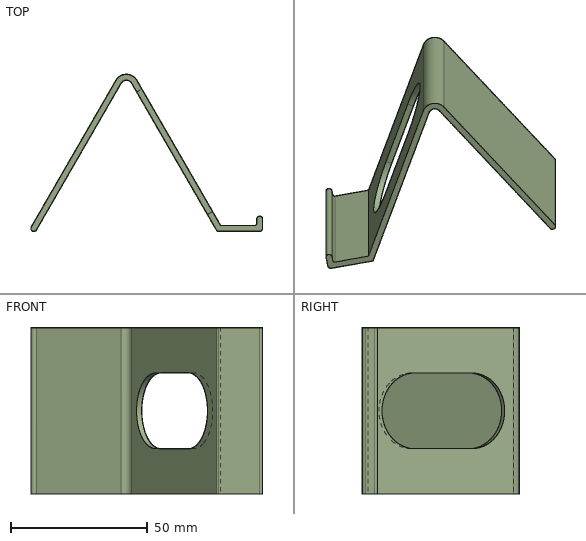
import cadquery as cq
import math

width = 61.14
depth = 57.75
length = 85.13
thickness = 2.25
leg_angle = 60.0
bend_inner_radius = 2.2
lip_height = 5.65
lip_inner_fillet = 0.6
foot_outer_fillet = 0.8
lip_outer_fillet = 1.2
slot_length = 52.0
slot_width = 27.8
slot_center_y = 28.7

bend_outer_radius = bend_inner_radius + thickness
bend_y = depth - bend_outer_radius
end_radius = thickness / 2
sine = math.sin(math.radians(leg_angle))
cosine = math.cos(math.radians(leg_angle))


def leg_x(y, offset):
    """X of a line parallel to the right leg, at a given distance from the bend axis."""
    return (bend_y - y) * cosine / sine + offset / sine


free_end_x = -leg_x(end_radius, bend_inner_radius + end_radius)
lip_outer_x = free_end_x - end_radius + length
lip_inner_x = lip_outer_x - thickness


def mirrored(point):
    """Reflect an XY point across the bend axis plane X = 0."""
    return (-point[0], point[1])


def bent_strip():
    """Profile in the XY plane: two legs joined by a bend, a foot and a lip."""
    outer_tangent = (bend_outer_radius * sine, bend_y + bend_outer_radius * cosine)
    inner_tangent = (bend_inner_radius * sine, bend_y + bend_inner_radius * cosine)
    end_outer = (free_end_x - end_radius * sine, end_radius + end_radius * cosine)
    end_inner = (free_end_x + end_radius * sine, end_radius - end_radius * cosine)
    end_tip = (free_end_x - end_radius * cosine, end_radius - end_radius * sine)
    lip_arc_y = lip_height - end_radius
    profile = (
        cq.Workplane("XY")
        .moveTo(*end_outer)
        .lineTo(*mirrored(outer_tangent))
        .threePointArc((0, depth), outer_tangent)
        .lineTo(leg_x(thickness, bend_outer_radius), thickness)
        .lineTo(lip_inner_x, thickness)
        .lineTo(lip_inner_x, lip_arc_y)
        .threePointArc((lip_inner_x + end_radius, lip_height), (lip_outer_x, lip_arc_y))
        .lineTo(lip_outer_x, 0)
        .lineTo(leg_x(0, bend_inner_radius), 0)
        .lineTo(*inner_tangent)
        .threePointArc((0, bend_y + bend_inner_radius), mirrored(inner_tangent))
        .lineTo(*end_inner)
        .threePointArc(end_tip, end_outer)
        .close()
    )
    return profile.extrude(width)


def fillet_corner(body, x, y, radius):
    """Round the edge along Z nearest to the given corner."""
    corner = cq.selectors.NearestToPointSelector((x, y, width / 2))
    return body.edges("|Z").edges(corner).fillet(radius)


def leg_slot():
    """Cutter for the round-ended slot, square to the right leg."""
    center = (leg_x(slot_center_y, bend_inner_radius), slot_center_y, width / 2)
    face = cq.Plane(origin=center, xDir=(cosine, -sine, 0), normal=(sine, cosine, 0))
    return cq.Workplane(face).slot2D(slot_length, slot_width).extrude(thickness * 2, both=True)


result = bent_strip()
result = fillet_corner(result, lip_inner_x, thickness, lip_inner_fillet)
result = fillet_corner(result, lip_outer_x, 0, lip_outer_fillet)
result = fillet_corner(result, leg_x(0, bend_inner_radius), 0, foot_outer_fillet)
result = result.cut(leg_slot())